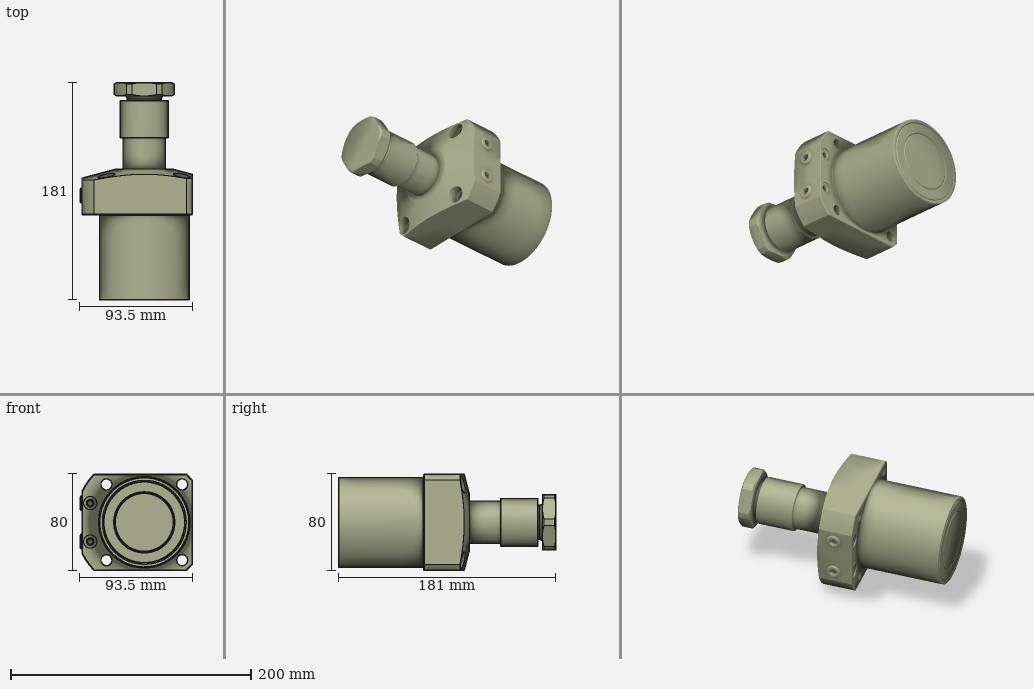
import cadquery as cq
import math


flange_height = 38.0
flange_half_width = 40.0
flange_port_side = 52.0
port_corner_radius = 58.0
plain_corner_chamfer = 5.0
flange_edge_chamfer = 0.5
cone_top_radius = 24.0
cone_angle = 15.0
barrel_radius = 37.5
barrel_length = 71.0
barrel_edge_chamfer = 0.5
barrel_root_chamfer = 0.6
barrel_end = -barrel_length

mount_hole_diameter = 9.0
mount_hole_offset = 31.5
counterbore_diameter = 14.0
counterbore_floor = 26.0

port_offset_z = 16.0
port_x = -45.0
port_recess_diameter = 11.0
port_recess_depth = 1.0
port_hole_diameter = 4.5
port_hole_chamfer = 0.9
port_hole_depth = 8.0
drill_tip_angle = 118.0
plug_y = 16.0
plug_head_diameter = 12.2
plug_head_height = 1.5
plug_head_chamfer = 0.9
plug_shank_diameter = 10.0
plug_shank_length = 6.0
plug_hex_flats = 6.0
plug_hex_depth = 4.5

cap_radius = 34.0
cap_thickness = 10.0
cap_edge_chamfer = 0.5
cap_bore_chamfer = 1.0
cap_groove_radius = 24.75
cap_groove_half_width = 0.75

rod_radius = 17.75
rod_end = 110.0
seat_radius = 16.0
relief_radius = 14.3
relief_top = 96.4
thread_radius = 15.2
sleeve_radius = 20.0
sleeve_bottom = 63.75
sleeve_top = 95.25
sleeve_chamfer = 0.5
nut_flats = 46.0
nut_corner_radius = 25.1
nut_height = 11.2
nut_chamfer_angle = 30.0
nut_bottom = rod_end - nut_height


def revolve_about_y(profile):
    """Turn a closed (radius, y) outline about the Y axis."""
    return cq.Workplane("XY").polyline(profile).close().revolve(360, (0, 0, 0), (0, 1, 0))


def cylinder_y(radius, start, end, x=0.0, z=0.0):
    """Cylinder along +Y from start to end."""
    axis = cq.Vector(0, 1, 0)
    return cq.Workplane(cq.Solid.makeCylinder(radius, end - start, cq.Vector(x, start, z), axis))


def flange_outline():
    """Flange plate before its top is turned to a cone."""
    arc_end_x = -math.sqrt(port_corner_radius**2 - flange_half_width**2)
    arc_end_z = math.sqrt(port_corner_radius**2 - flange_port_side**2)
    middle_angle = (math.atan2(flange_half_width, -arc_end_x) + math.atan2(arc_end_z, flange_port_side)) / 2
    arc_mid_x = -port_corner_radius * math.cos(middle_angle)
    arc_mid_z = port_corner_radius * math.sin(middle_angle)
    chamfer_start = flange_half_width - plain_corner_chamfer
    plate = (
        cq.Workplane("XZ")
        .moveTo(arc_end_x, flange_half_width)
        .lineTo(chamfer_start, flange_half_width)
        .lineTo(flange_half_width, chamfer_start)
        .lineTo(flange_half_width, -chamfer_start)
        .lineTo(chamfer_start, -flange_half_width)
        .lineTo(arc_end_x, -flange_half_width)
        .threePointArc((arc_mid_x, -arc_mid_z), (-flange_port_side, -arc_end_z))
        .lineTo(-flange_port_side, arc_end_z)
        .threePointArc((arc_mid_x, arc_mid_z), (arc_end_x, flange_half_width))
        .close()
        .extrude(-flange_height)
    )
    return plate.faces("<Y").chamfer(flange_edge_chamfer)


def make_flange():
    envelope_radius = port_corner_radius + 1.0
    cone_drop = (envelope_radius - cone_top_radius) * math.tan(math.radians(cone_angle))
    envelope = revolve_about_y([
        (0, 0),
        (envelope_radius, 0),
        (envelope_radius, flange_height - cone_drop),
        (cone_top_radius, flange_height),
        (0, flange_height),
    ])
    return flange_outline().intersect(envelope)


def make_barrel():
    """Barrel with a broken outer edge and a small conical root against the flange."""
    return revolve_about_y([
        (0, barrel_end),
        (barrel_radius - barrel_edge_chamfer, barrel_end),
        (barrel_radius, barrel_end + barrel_edge_chamfer),
        (barrel_radius, -barrel_root_chamfer),
        (barrel_radius + barrel_root_chamfer, 0),
        (0, 0),
    ])


def mounting_hole_cutter(x, z):
    """Through hole with a counterbore that opens on the cone side."""
    hole = cylinder_y(mount_hole_diameter / 2, 0, flange_height, x, z)
    return hole.union(cylinder_y(counterbore_diameter / 2, counterbore_floor, flange_height, x, z))


def port_cutter(z):
    """Recess, chamfered mouth and drilled hole with a conical tip, bored along +Y."""
    recess_radius = port_recess_diameter / 2
    hole_radius = port_hole_diameter / 2
    hole_end = port_recess_depth + port_hole_depth
    tip_end = hole_end + hole_radius / math.tan(math.radians(drill_tip_angle / 2))
    cutter = revolve_about_y([
        (0, 0),
        (recess_radius, 0),
        (recess_radius, port_recess_depth),
        (hole_radius + port_hole_chamfer, port_recess_depth),
        (hole_radius, port_recess_depth + port_hole_chamfer),
        (hole_radius, hole_end),
        (0, tip_end),
    ])
    return cutter.translate((port_x, 0, z))


def plug_shank(z):
    """Part of a plug that sits inside the flange."""
    start = cq.Vector(-flange_port_side, plug_y, z)
    return cq.Workplane(
        cq.Solid.makeCylinder(plug_shank_diameter / 2, plug_shank_length, start, cq.Vector(1, 0, 0))
    )


def make_housing():
    body = make_flange().union(make_barrel())
    for x in (-mount_hole_offset, mount_hole_offset):
        for z in (-mount_hole_offset, mount_hole_offset):
            body = body.cut(mounting_hole_cutter(x, z))
    for z in (-port_offset_z, port_offset_z):
        body = body.cut(port_cutter(z)).cut(plug_shank(z))
    rod_bore = cylinder_y(rod_radius, barrel_end, flange_height)
    mouth_radius = cap_radius + cap_bore_chamfer
    cap_bore = revolve_about_y([
        (0, barrel_end),
        (mouth_radius, barrel_end),
        (cap_radius, barrel_end + cap_bore_chamfer),
        (cap_radius, barrel_end + cap_thickness),
        (0, barrel_end + cap_thickness),
    ])
    return body.cut(rod_bore).cut(cap_bore)


def make_end_cap():
    """Disc with a chamfered rim and a V-groove in its outer face."""
    return revolve_about_y([
        (0, barrel_end),
        (cap_groove_radius - cap_groove_half_width, barrel_end),
        (cap_groove_radius, barrel_end + cap_groove_half_width),
        (cap_groove_radius + cap_groove_half_width, barrel_end),
        (cap_radius - cap_edge_chamfer, barrel_end),
        (cap_radius, barrel_end + cap_edge_chamfer),
        (cap_radius, barrel_end + cap_thickness),
        (0, barrel_end + cap_thickness),
    ])


def make_rod():
    """Rod with a seat for the sleeve, a relief and a thread-sized end for the nut."""
    return revolve_about_y([
        (0, barrel_end + cap_thickness),
        (rod_radius, barrel_end + cap_thickness),
        (rod_radius, sleeve_bottom),
        (seat_radius, sleeve_bottom),
        (seat_radius, sleeve_top),
        (relief_radius, sleeve_top),
        (relief_radius, relief_top),
        (thread_radius, nut_bottom),
        (thread_radius, rod_end),
        (0, rod_end),
    ])


def make_sleeve():
    outer = cylinder_y(sleeve_radius, sleeve_bottom, sleeve_top).faces("<Y or >Y").chamfer(sleeve_chamfer)
    return outer.cut(cylinder_y(seat_radius, sleeve_bottom, sleeve_top))


def make_nut():
    """Hexagon nut with turned-down corners, chamfered at both ends."""
    across_corners = nut_flats / math.cos(math.radians(30))
    hexagon = (
        cq.Workplane("XZ", origin=(0, nut_bottom, 0)).polygon(6, across_corners).extrude(-nut_height)
    )
    end_radius = nut_flats / 2
    chamfer_drop = (nut_corner_radius - end_radius) * math.tan(math.radians(nut_chamfer_angle))
    envelope = revolve_about_y([
        (0, nut_bottom),
        (end_radius, nut_bottom),
        (nut_corner_radius, nut_bottom + chamfer_drop),
        (nut_corner_radius, rod_end - chamfer_drop),
        (end_radius, rod_end),
        (0, rod_end),
    ])
    return hexagon.intersect(envelope).cut(cylinder_y(thread_radius, nut_bottom, rod_end))


def make_plug(z):
    """Plug with a chamfered round head and a hexagon socket."""
    head_face = cq.Workplane("YZ", origin=(-flange_port_side, plug_y, z))
    head = head_face.circle(plug_head_diameter / 2).extrude(-plug_head_height)
    head = head.faces("<X").chamfer(plug_head_chamfer)
    hex_corners = plug_hex_flats / math.cos(math.radians(30))
    socket = (
        cq.Workplane("YZ", origin=(-flange_port_side - plug_head_height, plug_y, z))
        .transformed(rotate=(0, 0, 90))
        .polygon(6, hex_corners)
        .extrude(plug_hex_depth)
    )
    return head.union(plug_shank(z)).cut(socket)


housing = make_housing()
end_cap = make_end_cap()
rod = make_rod()
sleeve = make_sleeve()
nut = make_nut()
plugs = [make_plug(z) for z in (-port_offset_z, port_offset_z)]

result = cq.Compound.makeCompound([
    housing.val(),
    end_cap.val(),
    rod.val(),
    sleeve.val(),
    nut.val(),
    *[plug.val() for plug in plugs],
])